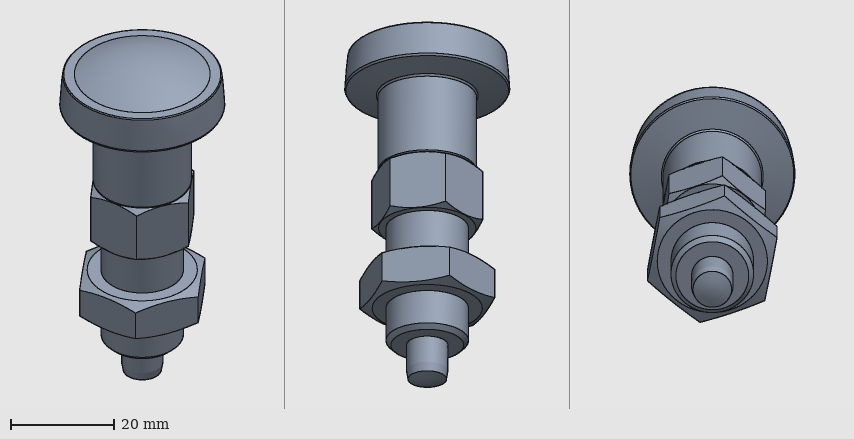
import cadquery as cq
import math

total_height = 73.0

pin_radius = 4.0
nose_radius = 3.7
nose_dome_height = 0.65
taper_top = 2.4

body_diameter = 16.0
body_radius = body_diameter / 2
body_bottom = 7.95
body_chamfer = 0.95

nut_width = 23.1
nut_bottom = 15.85
nut_height = 8.2
nut_face_radius = 10.65
nut_chamfer_angle = 22.0
collar_width = 19.0
collar_bottom = 33.0
collar_height = 12.0
collar_face_radius = 9.4
collar_chamfer_angle = 30.0

sleeve_radius = 9.55
sleeve_chamfer = 0.3

knob_radius = 16.0
knob_top_radius = 15.4
knob_side_radius = 15.8
neck_flare_bottom = 61.0
neck_flare_width = 0.3
underside_start = 61.5
underside_end = 62.5
knob_side_bottom = 62.9
shoulder_height = 69.9
knob_edge_bevel = 0.2
dome_radius = 13.15


def hexagon(width, bottom, height, face_radius, chamfer_angle):
    """Hexagonal prism with conical chamfers on the corners of both end faces."""
    corner_radius = width / math.sqrt(3)
    drop = (corner_radius - face_radius) * math.tan(math.radians(chamfer_angle))
    top = bottom + height
    prism = (
        cq.Workplane("XY", origin=(0, 0, bottom))
        .polygon(6, 2 * corner_radius)
        .extrude(height)
        .rotate((0, 0, 0), (0, 0, 1), 90)
    )
    envelope = (
        cq.Workplane("XZ")
        .moveTo(0, bottom)
        .lineTo(face_radius, bottom)
        .lineTo(corner_radius, bottom + drop)
        .lineTo(corner_radius, top - drop)
        .lineTo(face_radius, top)
        .lineTo(0, top)
        .close()
        .revolve(360, (0, 0, 0), (0, 1, 0))
    )
    return prism.intersect(envelope)


def dome_midpoint(edge_radius, height):
    """Radius and rise of the point halfway along a dome's profile arc."""
    sphere_radius = (edge_radius**2 + height**2) / (2 * height)
    half_angle = math.asin(edge_radius / sphere_radius) / 2
    rise = height - sphere_radius * (1 - math.cos(half_angle))
    return sphere_radius * math.sin(half_angle), rise


def turned_core():
    """Pin, body, sleeve and knob revolved from one profile."""
    collar_top = collar_bottom + collar_height
    nose_mid_radius, nose_mid_rise = dome_midpoint(nose_radius, nose_dome_height)
    dome_height = total_height - shoulder_height
    dome_mid_radius, dome_mid_rise = dome_midpoint(dome_radius, dome_height)
    side_middle = (knob_side_bottom + shoulder_height) / 2
    return (
        cq.Workplane("XZ")
        .moveTo(0, 0)
        .threePointArc(
            (nose_mid_radius, nose_dome_height - nose_mid_rise),
            (nose_radius, nose_dome_height),
        )
        .lineTo(pin_radius, taper_top)
        .lineTo(pin_radius, body_bottom)
        .lineTo(body_radius - body_chamfer, body_bottom)
        .lineTo(body_radius, body_bottom + body_chamfer)
        .lineTo(body_radius, collar_top)
        .lineTo(sleeve_radius - sleeve_chamfer, collar_top)
        .lineTo(sleeve_radius, collar_top + sleeve_chamfer)
        .lineTo(sleeve_radius, neck_flare_bottom)
        .lineTo(sleeve_radius + neck_flare_width, underside_start)
        .lineTo(knob_radius - knob_edge_bevel, underside_end)
        .lineTo(knob_radius, knob_side_bottom)
        .threePointArc(
            (knob_side_radius, side_middle),
            (knob_top_radius, shoulder_height - knob_edge_bevel),
        )
        .lineTo(knob_top_radius - knob_edge_bevel, shoulder_height)
        .lineTo(dome_radius, shoulder_height)
        .threePointArc((dome_mid_radius, shoulder_height + dome_mid_rise), (0, total_height))
        .close()
        .revolve(360, (0, 0, 0), (0, 1, 0))
    )


nut = hexagon(nut_width, nut_bottom, nut_height, nut_face_radius, nut_chamfer_angle)
collar = hexagon(collar_width, collar_bottom, collar_height, collar_face_radius, collar_chamfer_angle)
result = turned_core().union(nut).union(collar)